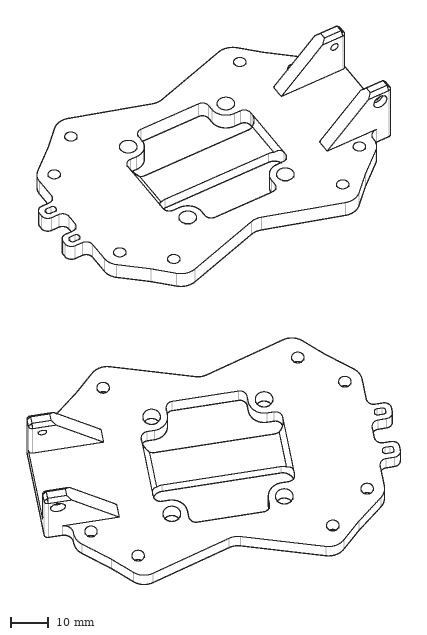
import cadquery as cq
import math

thickness = 5.0
end_y = 42.0
waist_x = 24.9
shoulder = (33.3, 26.3)
bend = (26.2, 33.4)
shoulder_radius = 5.0
corner_radius = 4.7
waist_radius = 5.0

corner_hole = (16.8, 37.3)
shoulder_hole = (26.3, 26.3)
screw_diameter = 3.3

opening_x = 18.9
opening_y = 19.1
bridge_width = 10.2
bridge_drop = 1.6
bridge_fillet = 3.0
pad_hole_offset = 15.2
pad_hole_diameter = 4.7
pad_radius = 4.3
pad_fillet = 1.95

tab_x = 6.0
tab_width = 5.0
tab_tip_y = 48.2
tab_fillet = 1.95
slot_width = 1.95
slot_length = 3.0
slot_corner = 0.8
slot_y = 44.9

overall_length = 97.5
rear_y = overall_length - tab_tip_y
bracket_outer_x = 13.7
bracket_width = 4.0
bracket_height = 19.0
bracket_toe_y = 29.2
bracket_bevel_width = 1.0
bracket_bevel_height = 1.2
rear_corner_radius = 1.0
block_fillet = 2.5
pivot_y = 45.7
pivot_z = 15.0
pivot_diameter = 2.2
pivot_recess_diameter = 4.0
pivot_recess_depth = bracket_width / 2


def mirrored(points):
    """Repeat points in all four quadrants."""
    return [(sx * x, sy * y) for x, y in points for sx in (1, -1) for sy in (1, -1)]


def box(x_min, x_max, y_min, y_max, height=thickness):
    """Block standing on z = 0."""
    corner = cq.Vector(x_min, y_min, 0)
    return cq.Workplane(cq.Solid.makeBox(x_max - x_min, y_max - y_min, height, corner))


def fillet_at(body, points, radius):
    """Round the upright edges standing at the given points."""
    reach = 0.05
    middle = thickness / 2
    picked = []
    for x, y in points:
        low = (x - reach, y - reach, middle - reach)
        high = (x + reach, y + reach, middle + reach)
        picked += body.edges(cq.selectors.BoxSelector(low, high)).vals()
    return body.newObject(picked).fillet(radius)


def cylinders(points, diameter):
    """Upright cylinders through the plate thickness."""
    return cq.Workplane("XY").pushPoints(points).circle(diameter / 2).extrude(thickness)


def pivot_bore(start_x, depth, diameter):
    """Cylinder on the pivot axis, running in +X from start_x."""
    axis_plane = cq.Workplane("YZ", origin=(start_x, pivot_y, pivot_z))
    return axis_plane.circle(diameter / 2).extrude(depth)


def make_plate():
    """Waisted plate with front tabs and rear block."""
    run_per_rise = (corner_hole[0] - shoulder_hole[0]) / (corner_hole[1] - shoulder_hole[1])
    corner = (bend[0] + (end_y - bend[1]) * run_per_rise, end_y)
    right_rear = [(waist_x, 0), shoulder, bend, corner]
    right_front = [(x, -y) for x, y in reversed(right_rear[1:])]
    right = right_front + right_rear
    left = [(-x, y) for x, y in reversed(right)]
    plate = cq.Workplane("XY").polyline(right + left).close().extrude(thickness)
    plate = fillet_at(plate, mirrored([shoulder]), shoulder_radius)
    plate = fillet_at(plate, mirrored([corner]), corner_radius)
    plate = fillet_at(plate, [(waist_x, 0), (-waist_x, 0)], waist_radius)

    plate = plate.union(box(-bracket_outer_x, bracket_outer_x, 0, rear_y))
    plate = fillet_at(plate, [(-bracket_outer_x, end_y), (bracket_outer_x, end_y)], block_fillet)
    plate = fillet_at(plate, [(-bracket_outer_x, rear_y), (bracket_outer_x, rear_y)], rear_corner_radius)

    tab_sides = [side * tab_x + edge * tab_width / 2 for side in (-1, 1) for edge in (-1, 1)]
    for side in (-1, 1):
        centre = side * tab_x
        plate = plate.union(box(centre - tab_width / 2, centre + tab_width / 2, -tab_tip_y, 0))
    plate = fillet_at(plate, [(x, -end_y) for x in tab_sides], tab_fillet)
    return fillet_at(plate, [(x, -tab_tip_y) for x in tab_sides], tab_fillet)


def make_opening():
    """Cutters for the two windows and for the lowered top of the bridge between them."""
    pad_edge = pad_hole_offset - pad_radius
    bridge_edge = bridge_width / 2
    windows = box(-opening_x, opening_x, -opening_y, opening_y)
    windows = windows.cut(box(-bridge_edge, bridge_edge, -opening_y, opening_y))
    for x_min, x_max in ((-opening_x, -pad_edge), (pad_edge, opening_x)):
        for y_min, y_max in ((-opening_y, -pad_edge), (pad_edge, opening_y)):
            windows = windows.cut(box(x_min, x_max, y_min, y_max))
    windows = fillet_at(windows, mirrored([(pad_edge, pad_edge)]), pad_radius)
    pad_roots = mirrored([(pad_edge, opening_y), (opening_x, pad_edge)])
    windows = fillet_at(windows, pad_roots, pad_fillet)
    windows = fillet_at(windows, mirrored([(bridge_edge, opening_y)]), bridge_fillet)

    bridge_relief = (
        cq.Workplane("YZ")
        .polyline([
            (-opening_y, thickness),
            (-opening_y + bridge_drop, thickness - bridge_drop),
            (opening_y - bridge_drop, thickness - bridge_drop),
            (opening_y, thickness),
        ])
        .close()
        .extrude(bridge_edge + bridge_fillet, both=True)
    )
    return windows, bridge_relief


def make_bracket():
    """Triangular upright at +X with a bevelled top and a recessed pivot hole."""
    inner_x = bracket_outer_x - bracket_width
    post = box(inner_x, bracket_outer_x, bracket_toe_y, rear_y, bracket_height - bracket_bevel_height)
    post = post.edges("|Z and >Y").fillet(rear_corner_radius)
    bevel_angle = math.degrees(math.atan2(bracket_bevel_width, bracket_bevel_height))
    post = post.faces(">Z").wires().toPending().workplane().extrude(bracket_bevel_height, taper=bevel_angle)

    rise = bracket_height - thickness
    slope_waste = (
        cq.Workplane("YZ", origin=(inner_x, 0, 0))
        .polyline([
            (bracket_toe_y, thickness),
            (bracket_toe_y + rise, bracket_height),
            (bracket_toe_y, bracket_height),
        ])
        .close()
        .extrude(bracket_width)
    )
    bore = pivot_bore(inner_x, bracket_width, pivot_diameter)
    recess = pivot_bore(bracket_outer_x - pivot_recess_depth, pivot_recess_depth, pivot_recess_diameter)
    return post.cut(slope_waste).cut(bore).cut(recess)


def make_holes():
    """Cutters for the screw holes, the pad holes and the tab slots."""
    screws = cylinders(mirrored([corner_hole, shoulder_hole]), screw_diameter)
    pad_holes = cylinders(mirrored([(pad_hole_offset, pad_hole_offset)]), pad_hole_diameter)
    slots = (
        cq.Workplane("XY")
        .pushPoints([(-tab_x, -slot_y), (tab_x, -slot_y)])
        .rect(slot_width, slot_length)
        .extrude(thickness)
        .edges("|Z")
        .fillet(slot_corner)
    )
    return screws, pad_holes, slots


result = make_plate()
for cutter in make_opening() + make_holes():
    result = result.cut(cutter)

bracket = make_bracket()
result = result.union(bracket).union(bracket.mirror("YZ"))